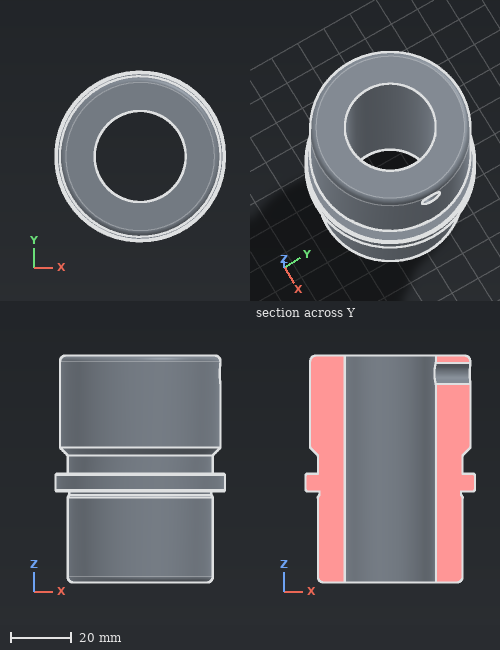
import cadquery as cq

height = 75.0
bore_diameter = 30.0
body_diameter = 48.0
head_diameter = 53.0
flange_diameter = 56.0
relief_diameter = 47.0

head_depth = 30.45
flange_top_depth = 39.0
flange_thickness = 6.0
relief_width = 1.05
relief_taper_width = 0.8

end_fillet = 2.0
flange_chamfer = 0.5

cross_hole_diameter = 6.8
cross_hole_depth = 6.0

bore_radius = bore_diameter / 2
body_radius = body_diameter / 2
head_radius = head_diameter / 2
flange_radius = flange_diameter / 2
relief_radius = relief_diameter / 2

head_bottom = height - head_depth
neck_top = head_bottom - (head_radius - body_radius)
flange_top = height - flange_top_depth
flange_bottom = flange_top - flange_thickness
relief_bottom = flange_bottom - relief_width
body_top = relief_bottom - relief_taper_width


def turned_body():
    """Revolve the outer half profile about Z, then round both ends."""
    profile = [
        (0, 0),
        (body_radius, 0),
        (body_radius, body_top),
        (relief_radius, relief_bottom),
        (relief_radius, flange_bottom),
        (flange_radius - flange_chamfer, flange_bottom),
        (flange_radius, flange_bottom + flange_chamfer),
        (flange_radius, flange_top - flange_chamfer),
        (flange_radius - flange_chamfer, flange_top),
        (body_radius, flange_top),
        (body_radius, neck_top),
        (head_radius, head_bottom),
        (head_radius, height),
        (0, height),
    ]
    solid = cq.Workplane("XZ").polyline(profile).close().revolve(360, (0, 0), (0, 1))
    return solid.faces("<Z or >Z").edges().fillet(end_fillet)


def through_bore():
    return cq.Workplane("XY").circle(bore_radius).extrude(height)


def cross_hole():
    """Radial hole through the +X wall of the head, open into the bore."""
    return (
        cq.Workplane("YZ")
        .center(0, height - cross_hole_depth)
        .circle(cross_hole_diameter / 2)
        .extrude(flange_radius)
    )


result = turned_body().cut(through_bore()).cut(cross_hole())